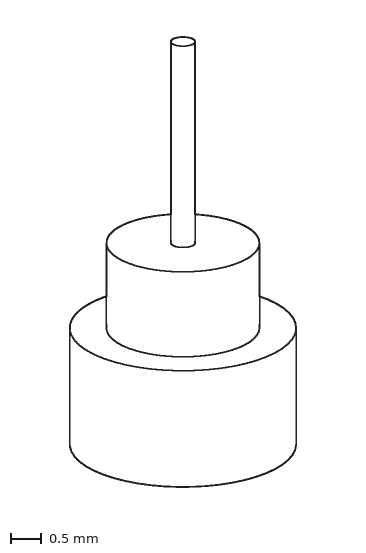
import cadquery as cq

total_height = 7.1
body_diameter = 3.7
body_height = 2.05
collar_diameter = 2.5
collar_height = 1.5
pin_diameter = 0.4
pin_height = total_height - body_height - collar_height


def add_cylinder(solid, diameter, height):
    """Stack a coaxial cylinder on the top face of the solid."""
    return solid.faces(">Z").workplane().circle(diameter / 2).extrude(height)


body = cq.Workplane("XY").circle(body_diameter / 2).extrude(body_height)

with_collar = add_cylinder(body, collar_diameter, collar_height)
result = add_cylinder(with_collar, pin_diameter, pin_height)